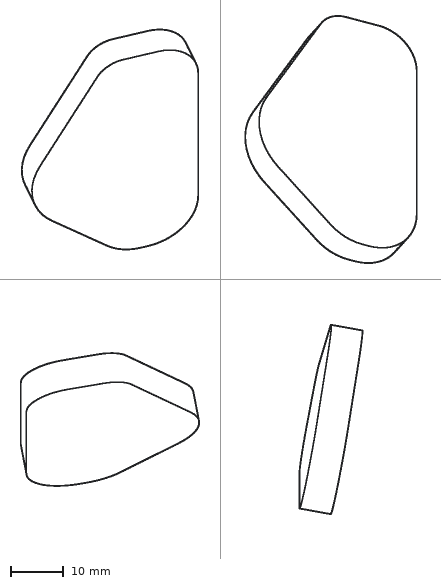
import cadquery as cq
import math

thickness = 6.0
width = 33.2
height = 50.0

back_top_radius = 8.0
back_bottom_radius = 10.0
front_top_radius = 6.0
front_bottom_radius = 10.0
nose_radius = 12.0

front_top_setback = 15.0
front_bottom_setback = 11.5
nose_height = 21.35

corners = [
    (back_top_radius, height - back_top_radius, back_top_radius),
    (front_top_setback, height - front_top_radius, front_top_radius),
    (width - nose_radius, nose_height, nose_radius),
    (front_bottom_setback, front_bottom_radius, front_bottom_radius),
    (back_bottom_radius, back_bottom_radius, back_bottom_radius),
]


def tangent_angle(first, second):
    """Direction of the outward normal of the outer tangent line joining two corner circles."""
    run = second[0] - first[0]
    rise = second[1] - first[1]
    tilt = math.asin((second[2] - first[2]) / math.hypot(run, rise))
    return math.atan2(rise, run) + math.pi / 2 + tilt


def point_on(corner, angle):
    """Point on a corner circle, in plate coordinates (Y, Z) centred on the outline."""
    setback = corner[0] + corner[2] * math.cos(angle)
    level = corner[1] + corner[2] * math.sin(angle)
    return (width / 2 - setback, level - height / 2)


def plate_outline():
    """Closed outline of corner arcs joined by their common tangent lines."""
    count = len(corners)
    edge_angles = [tangent_angle(corners[i], corners[(i + 1) % count]) for i in range(count)]
    outline = cq.Workplane("YZ").moveTo(*point_on(corners[0], edge_angles[0]))
    for i in range(1, count + 1):
        corner = corners[i % count]
        start = edge_angles[i - 1]
        end = edge_angles[i % count]
        sweep = (start - end) % (2 * math.pi)
        outline = outline.lineTo(*point_on(corner, start))
        outline = outline.threePointArc(point_on(corner, start - sweep / 2), point_on(corner, end))
    return outline.close()


result = plate_outline().extrude(thickness / 2, both=True)